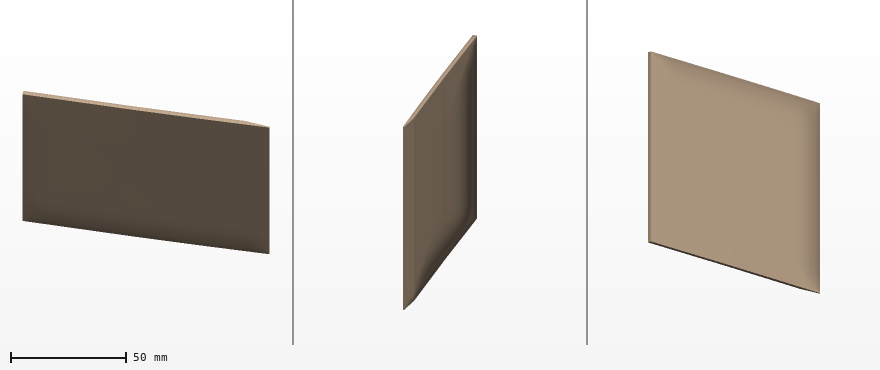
import cadquery as cq
import math

length_x = 106.71
depth_y = 23.77
height = 86.0

thickness = 2.0
heel_angle = math.radians(11.8)
bow = 0.36
tip_thickness = 0.55
taper_run = 11.0

heel_front = (thickness * math.sin(heel_angle), 0)
heel_back = (0, thickness * math.cos(heel_angle))
tip_front = (length_x, depth_y - tip_thickness)
tip_back = (length_x, depth_y)

chord_angle = math.atan2(tip_front[1] - heel_front[1], tip_front[0] - heel_front[0])
full_back_end = (
    tip_front[0] - thickness * math.sin(chord_angle),
    tip_front[1] + thickness * math.cos(chord_angle),
)


def bowed_point(start, end, x):
    """Point at the given X on a parabola that sags along Y by the bow below its chord."""
    fraction = (x - start[0]) / (end[0] - start[0])
    sag = 4 * bow * fraction * (1 - fraction)
    return (x, start[1] + fraction * (end[1] - start[1]) - sag)


front_middle = bowed_point(heel_front, tip_front, (heel_front[0] + tip_front[0]) / 2)
taper_start = bowed_point(heel_back, full_back_end, length_x - taper_run)
back_middle = bowed_point(heel_back, full_back_end, (heel_back[0] + taper_start[0]) / 2)


def make_plate():
    """Gently bowed plate, tapered on its back face toward the thin end."""
    return (
        cq.Workplane("XY")
        .moveTo(*heel_front)
        .spline([front_middle, tip_front], includeCurrent=True)
        .lineTo(*tip_back)
        .lineTo(*taper_start)
        .spline([back_middle, heel_back], includeCurrent=True)
        .close()
        .extrude(height)
    )


result = make_plate()